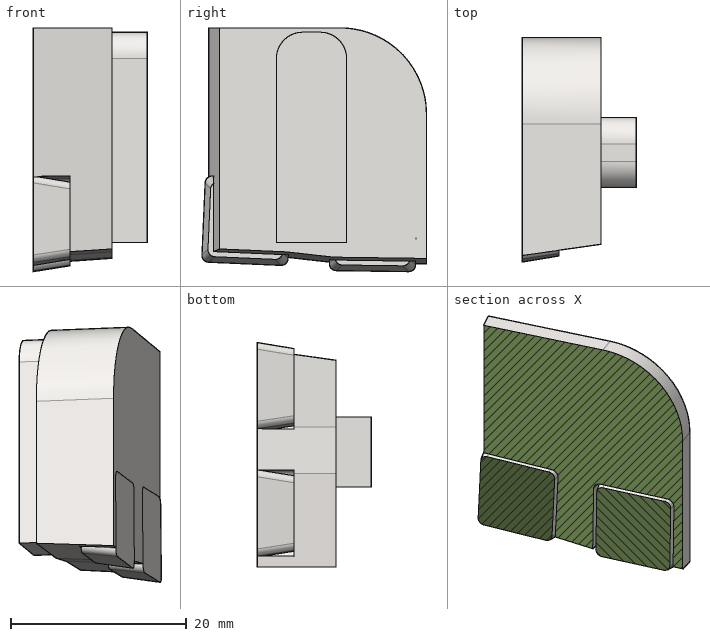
import math

import cadquery as cq


housing_width = 9.0
housing_length = 24.85
housing_height = 26.9
back_corner_radius = 9.85
front_relief_angle = 8.0
bottom_relief_angle = 4.0
rear_kink_y = -10.65
front_kink_y = -15.98
front_kink_z = -26.15

key_depth = 4.0
key_thickness = 8.0
key_height = 24.0
key_corner_radius = 3.0
key_center_y = -13.12
key_top_z = -0.5

insert_size = 9.85
insert_depth = 4.23
insert_corner_radius = 0.8
insert_relief_angle = 9.0
rear_insert_tilt = 0.8
front_insert_tilt = 2.5
insert_placements = [
    (-6.12, -22.82, rear_insert_tilt),
    (-20.52, -22.0, front_insert_tilt),
]


def slope(angle):
    return math.tan(math.radians(angle))


def housing_section(x):
    """Section at distance x, with the front and bottom faces drawn in by their relief."""
    front_y = -housing_length + x * slope(front_relief_angle)
    rise = x * slope(bottom_relief_angle)
    back_z = -housing_height + rise
    rear_kink_z = back_z - rear_kink_y * slope(rear_insert_tilt)
    front_z = front_kink_z + rise + (front_kink_y - front_y) * slope(front_insert_tilt)
    outline = [
        (0, 0),
        (0, back_z),
        (rear_kink_y, rear_kink_z),
        (front_kink_y, front_kink_z + rise),
        (front_y, front_z),
        (front_y, 0),
    ]
    return cq.Wire.makePolygon([cq.Vector(x, y, z) for y, z in outline], close=True)


def make_key():
    """Upright key with rounded top corners and a square lower end."""
    return (
        cq.Workplane("YZ", origin=(housing_width, key_center_y, key_top_z - key_height / 2))
        .rect(key_thickness, key_height)
        .extrude(key_depth)
        .edges("|X and >Z")
        .fillet(key_corner_radius)
    )


def rounded_square(size, x):
    """Wire of a square with rounded corners, centred on the X axis."""
    square = cq.Workplane("YZ", origin=(x, 0, 0)).rect(size, size).val()
    return square.fillet2D(insert_corner_radius, square.Vertices())


def make_insert():
    """Rounded square that narrows from its outer face to its seat."""
    seat_size = insert_size - 2 * insert_depth * slope(insert_relief_angle)
    sections = [rounded_square(insert_size, 0), rounded_square(seat_size, insert_depth)]
    return cq.Workplane(cq.Solid.makeLoft(sections, True))


def make_pocket():
    """Straight-walled space that takes an insert's full outline."""
    outline = rounded_square(insert_size, 0)
    return cq.Workplane(cq.Solid.extrudeLinear(outline, [], cq.Vector(insert_depth, 0, 0)))


def seat(body, center_y, center_z, tilt):
    """Tilt a body made at the origin and move it to its place in the housing."""
    return body.rotate((0, 0, 0), (1, 0, 0), -tilt).translate((0, center_y, center_z))


def make_housing():
    """Relieved block with a rounded back corner, a key and one pocket per insert."""
    sections = [housing_section(0), housing_section(housing_width)]
    housing = cq.Workplane(cq.Solid.makeLoft(sections, True))
    top_back_edge = cq.selectors.NearestToPointSelector((housing_width / 2, 0, 0))
    housing = housing.edges(top_back_edge).fillet(back_corner_radius)
    housing = housing.union(make_key())
    for placement in insert_placements:
        housing = housing.cut(seat(make_pocket(), *placement))
    return housing


housing = make_housing()
inserts = [seat(make_insert(), *placement) for placement in insert_placements]

result = cq.Compound.makeCompound([housing.val(), *[insert.val() for insert in inserts]])